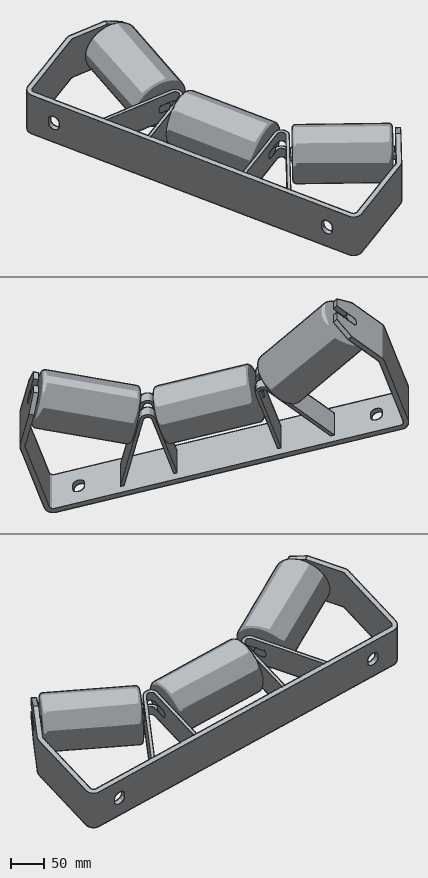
import cadquery as cq
import math

LENGTH = 570.0
HEIGHT = 80.0
PLATE = 8.0
BEND_RADIUS = 14.0
ARM_BEND_Y = 134.0
ARM_LENGTH = 91.0
LEAN = math.radians(30)
ARM_CHAMFER_LENGTH = 30.0
ARM_CHAMFER_HEIGHT = 16.0
MOUNT_SLOT_WIDTH = 18.0
MOUNT_SLOT_HEIGHT = 26.0
MOUNT_SLOT_X = 233.0

STRIP = 5.0
STRIP_HEIGHT = 51.5
BRACKET_FACE_X = 78.5
BRACKET_RADIUS = 12.0
BRACKET_TOP_Y = 129.5

ROLLER_DIAMETER = 89.0
ROLLER_LENGTH = 150.0
ROLLER_ROUND = 5.5
AXLE_DIAMETER = 20.0
AXLE_SHOULDER = 3.0
AXLE_FLAT_WIDTH = 15.0
ROLLER_Y = 101.5
ARM_SEAT = 61.5

ALONG_ARM = cq.Vector(-math.sin(LEAN), math.cos(LEAN))
OUTWARD = cq.Vector(math.cos(LEAN), math.sin(LEAN))

arm_bend_center = cq.Vector(LENGTH / 2 - BEND_RADIUS, ARM_BEND_Y)
arm_root = arm_bend_center + OUTWARD * BEND_RADIUS
arm_seat = arm_root + ALONG_ARM * ARM_SEAT

fold_center = cq.Vector(BRACKET_FACE_X + BRACKET_RADIUS, BRACKET_TOP_Y - BRACKET_RADIUS)
side_gap = (arm_seat - fold_center).dot(OUTWARD) - PLATE - BRACKET_RADIUS
side_roller_center = arm_seat - OUTWARD * (PLATE + side_gap / 2)


def xy(point):
    return point.x, point.y


def mirrored(body):
    return body.mirror("YZ")


def roller_plane(side):
    """Plane at a roller's centre whose normal is the axle; side is -1, 0 or 1."""
    if side == 0:
        return cq.Plane(origin=(0, ROLLER_Y, 0), xDir=(0, 0, 1), normal=(1, 0, 0))
    return cq.Plane(
        origin=(side * side_roller_center.x, side_roller_center.y, 0),
        xDir=(0, 0, 1),
        normal=(side * OUTWARD.x, OUTWARD.y, 0),
    )


def make_axle(side, inner_reach, outer_reach):
    """Flattened bar along a roller's axle, reaching the given distances from the roller's centre."""
    length = inner_reach + outer_reach
    start = cq.Workplane(roller_plane(side)).workplane(offset=-inner_reach)
    bar = start.circle(AXLE_DIAMETER / 2).extrude(length)
    return bar.intersect(start.rect(AXLE_FLAT_WIDTH, AXLE_DIAMETER).extrude(length))


def make_roller(side):
    """Drum with its axle; the flattened axle ends are flush with the far faces of their supports."""
    inner_reach = outer_reach = BRACKET_FACE_X + STRIP
    if side != 0:
        inner_reach = side_gap / 2 + STRIP
        outer_reach = side_gap / 2 + PLATE
    shoulder_reach = ROLLER_LENGTH / 2 + AXLE_SHOULDER
    center = cq.Workplane(roller_plane(side))
    drum = (
        center.workplane(offset=-ROLLER_LENGTH / 2)
        .circle(ROLLER_DIAMETER / 2)
        .extrude(ROLLER_LENGTH)
        .edges("%CIRCLE")
        .fillet(ROLLER_ROUND)
    )
    shoulders = (
        center.workplane(offset=-shoulder_reach).circle(AXLE_DIAMETER / 2).extrude(2 * shoulder_reach)
    )
    return drum.union(shoulders).union(make_axle(side, inner_reach, outer_reach))


def make_half_frame():
    """Right-hand half of the bent bar with its openings."""
    inner_radius = BEND_RADIUS - PLATE
    corner = cq.Vector(LENGTH / 2 - BEND_RADIUS, BEND_RADIUS)
    diagonal = cq.Vector(math.sqrt(0.5), -math.sqrt(0.5))
    mid_bend = cq.Vector(math.cos(LEAN / 2), math.sin(LEAN / 2))
    tip = arm_root + ALONG_ARM * ARM_LENGTH
    bar = (
        cq.Workplane("XY")
        .moveTo(0, 0)
        .lineTo(corner.x, 0)
        .threePointArc(xy(corner + diagonal * BEND_RADIUS), (LENGTH / 2, BEND_RADIUS))
        .lineTo(LENGTH / 2, ARM_BEND_Y)
        .threePointArc(xy(arm_bend_center + mid_bend * BEND_RADIUS), xy(arm_root))
        .lineTo(*xy(tip))
        .lineTo(*xy(tip - OUTWARD * PLATE))
        .lineTo(*xy(arm_root - OUTWARD * PLATE))
        .threePointArc(
            xy(arm_bend_center + mid_bend * inner_radius),
            (LENGTH / 2 - PLATE, ARM_BEND_Y),
        )
        .lineTo(LENGTH / 2 - PLATE, BEND_RADIUS)
        .threePointArc(xy(corner + diagonal * inner_radius), (corner.x, PLATE))
        .lineTo(0, PLATE)
        .close()
        .extrude(HEIGHT / 2, both=True)
    )
    return bar.cut(arm_tip_corners()).cut(axle_slot()).cut(mount_slot())


def arm_plane():
    """Plane on the outer arm face at the axle seat, x along the arm and normal outward."""
    return cq.Plane(origin=arm_seat, xDir=ALONG_ARM, normal=OUTWARD)


def arm_tip_corners():
    tip_x = ARM_LENGTH - ARM_SEAT
    corners = cq.Workplane(arm_plane())
    for z_sign in (-1, 1):
        corners = (
            corners.moveTo(tip_x, z_sign * HEIGHT / 2)
            .lineTo(tip_x - ARM_CHAMFER_LENGTH, z_sign * HEIGHT / 2)
            .lineTo(tip_x, z_sign * (HEIGHT / 2 - ARM_CHAMFER_HEIGHT))
            .close()
        )
    return corners.extrude(-PLATE)


def axle_slot():
    """Slot open at the arm tip whose closed end fits the flattened axle."""
    seat = make_axle(1, 0, side_gap / 2 + PLATE)
    to_tip = ARM_LENGTH - ARM_SEAT
    channel = (
        cq.Workplane(arm_plane())
        .center(to_tip / 2, 0)
        .rect(to_tip, AXLE_FLAT_WIDTH)
        .extrude(-PLATE)
    )
    return seat.union(channel)


def mount_slot():
    return (
        cq.Workplane("XZ")
        .center(MOUNT_SLOT_X, 0)
        .slot2D(MOUNT_SLOT_HEIGHT, MOUNT_SLOT_WIDTH, 90)
        .extrude(-PLATE)
    )


def make_frame():
    half = make_half_frame()
    return half.union(mirrored(half))


def make_bracket():
    """Right-hand bracket: upright leg, round fold and slanted leg, with a slot for the axles."""
    inner_radius = BRACKET_RADIUS - STRIP
    outer_start = fold_center + OUTWARD * BRACKET_RADIUS
    inner_start = fold_center + OUTWARD * inner_radius
    mid_fold = cq.Vector(math.cos((math.pi + LEAN) / 2), math.sin((math.pi + LEAN) / 2))

    def foot_x(point):
        return point.x + (point.y - PLATE) * math.tan(LEAN)

    strip = (
        cq.Workplane("XY")
        .moveTo(BRACKET_FACE_X, PLATE)
        .lineTo(BRACKET_FACE_X, fold_center.y)
        .threePointArc(
            xy(fold_center + mid_fold * BRACKET_RADIUS), xy(outer_start)
        )
        .lineTo(foot_x(outer_start), PLATE)
        .lineTo(foot_x(inner_start), PLATE)
        .lineTo(*xy(inner_start))
        .threePointArc(
            xy(fold_center + mid_fold * inner_radius),
            (BRACKET_FACE_X + STRIP, fold_center.y),
        )
        .lineTo(BRACKET_FACE_X + STRIP, PLATE)
        .close()
        .extrude(STRIP_HEIGHT / 2, both=True)
    )
    middle_slot = bracket_slot(0, BRACKET_FACE_X)
    side_slot = bracket_slot(1, -side_gap / 2 - BRACKET_RADIUS)
    return strip.cut(middle_slot).cut(side_slot)


def bracket_slot(side, start):
    """Slot from an axle seat up over the fold; start is its offset along the axle from the roller's centre.

    It reaches from a leg's face to the middle of the fold, so the slots of both legs join there.
    """
    plane = roller_plane(side)
    center_height = -plane.toLocalCoords(fold_center).y
    reach = center_height + BRACKET_RADIUS
    channel = (
        cq.Workplane(plane)
        .workplane(offset=start)
        .center(0, -reach / 2)
        .rect(AXLE_FLAT_WIDTH, reach)
        .extrude(BRACKET_RADIUS)
    )
    return channel.union(make_axle(side, -start, start + BRACKET_RADIUS))


frame = make_frame()
bracket = make_bracket()
brackets = [bracket, mirrored(bracket)]
rollers = [make_roller(side) for side in (-1, 0, 1)]

result = cq.Compound.makeCompound([body.val() for body in [frame, *brackets, *rollers]])